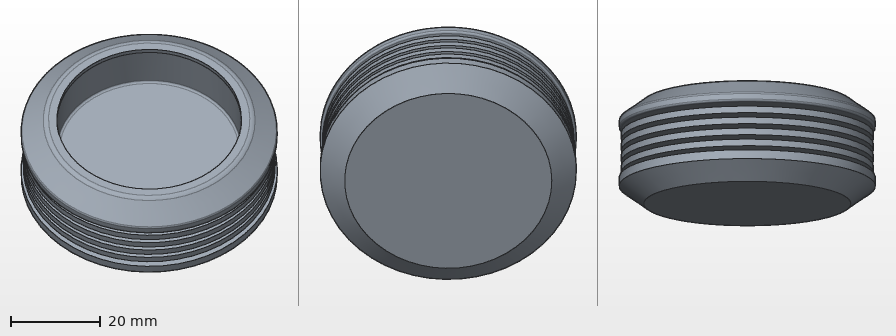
import cadquery as cq

rim_radius = 28.5
face_radius = 23.0
rim_height = 2.0
cone_height = 4.0
end_height = cone_height + rim_height

cup_outer_radius = 22.45
cup_inner_radius = 20.5
cup_floor_z = 12.0
floor_fillet = 0.5

ring_count = 4
ring_radius = 28.05
ring_thickness = 1.5
ring_gap = 1.0
ring_pitch = ring_thickness + ring_gap

lip_thickness = 1.0
crown_fillet = 2.0
rim_fillet = 0.5
cap_bottom_z = end_height + ring_count * ring_pitch + ring_gap
total_height = cap_bottom_z + end_height
cup_top_z = total_height - lip_thickness


def disc(radius, bottom_z, top_z):
    """Solid cylinder on the Z axis."""
    return cq.Workplane("XY").workplane(offset=bottom_z).circle(radius).extrude(top_z - bottom_z)


def make_base():
    """Conical flange and cup in one piece, with a rounded edge around the cup floor."""
    flange = (
        cq.Workplane("XZ")
        .moveTo(0, 0)
        .lineTo(face_radius, 0)
        .lineTo(rim_radius, cone_height)
        .lineTo(rim_radius, end_height)
        .lineTo(0, end_height)
        .close()
        .revolve(360, (0, 0, 0), (0, 1, 0))
    )
    post = disc(cup_outer_radius, end_height, cup_top_z)
    pocket = disc(cup_inner_radius, cup_floor_z, cup_top_z).faces("<Z").edges().fillet(floor_fillet)
    return flange.union(post).cut(pocket)


def make_ring(index):
    """Flat ring around the cup, counted upward from the flange."""
    bottom_z = end_height + ring_gap + index * ring_pitch
    top_z = bottom_z + ring_thickness
    return disc(ring_radius, bottom_z, top_z).cut(disc(cup_outer_radius, bottom_z, top_z))


def make_cap():
    """Conical cap with rounded edges, bored to fit over the cup and lipped at the top."""
    band_top_z = cap_bottom_z + rim_height
    body = (
        cq.Workplane("XZ")
        .moveTo(0, cap_bottom_z)
        .lineTo(rim_radius, cap_bottom_z)
        .lineTo(rim_radius, band_top_z)
        .lineTo(face_radius, total_height)
        .lineTo(0, total_height)
        .close()
        .revolve(360, (0, 0, 0), (0, 1, 0))
    )
    body = body.faces(">Z").edges().fillet(crown_fillet)
    widest_circles = cq.selectors.RadiusNthSelector(-1)
    body = body.edges("%CIRCLE").edges(widest_circles).fillet(rim_fillet)
    cup_socket = disc(cup_outer_radius, cap_bottom_z, cup_top_z)
    opening = disc(cup_inner_radius, cup_top_z, total_height)
    return body.cut(cup_socket).cut(opening)


base = make_base()
rings = [make_ring(index) for index in range(ring_count)]
cap = make_cap()

result = cq.Compound.makeCompound([base.val(), *[ring.val() for ring in rings], cap.val()])